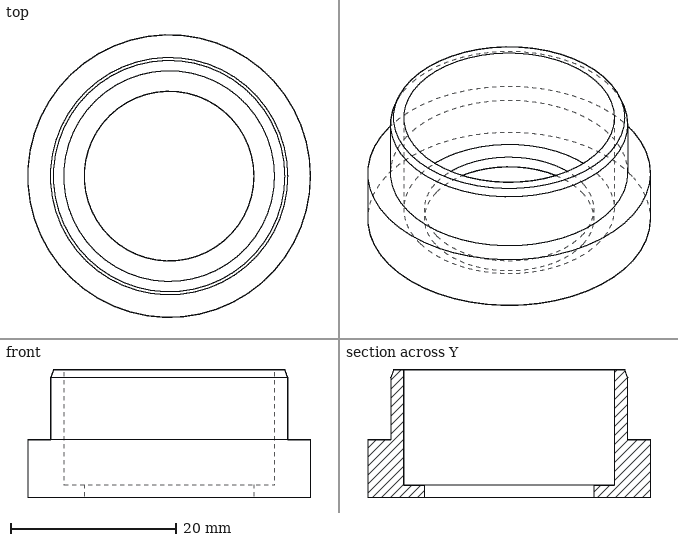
import cadquery as cq

flange_diameter = 34.2
flange_height = 7.0
total_height = 15.5
collar_diameter = 28.7

lead_in_height = 1.0
lead_in_top_diameter = 28.0

bore_diameter = 25.5
floor_hole_diameter = 20.5
floor_thickness = 1.5

flange_radius = flange_diameter / 2
collar_radius = collar_diameter / 2
lead_in_top_radius = lead_in_top_diameter / 2
bore_radius = bore_diameter / 2
floor_hole_radius = floor_hole_diameter / 2

half_section = [
    (floor_hole_radius, 0),
    (flange_radius, 0),
    (flange_radius, flange_height),
    (collar_radius, flange_height),
    (collar_radius, total_height - lead_in_height),
    (lead_in_top_radius, total_height),
    (bore_radius, total_height),
    (bore_radius, floor_thickness),
    (floor_hole_radius, floor_thickness),
]

result = (
    cq.Workplane("XZ")
    .polyline(half_section)
    .close()
    .revolve(360, (0, 0, 0), (0, 1, 0))
)